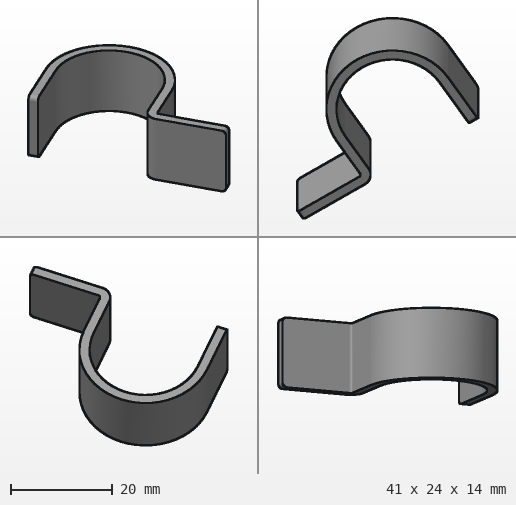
import cadquery as cq

length = 41.0
depth = 24.0
width = 14.0
thickness = 2.0
outer_radius = 13.0
bend_inner_radius = 0.5
corner_radius = 1.0

inner_radius = outer_radius - thickness
bend_outer_radius = bend_inner_radius + thickness
foot_y = outer_radius - depth
flange_top_y = foot_y + thickness
flange_end_x = length - outer_radius
bend_x = outer_radius + bend_inner_radius
bend_y = flange_top_y + bend_inner_radius


def bent_strip():
    """Half-round saddle with a free leg on -X and a flanged leg on +X."""
    saddle = (
        cq.Workplane("XY")
        .moveTo(-outer_radius, foot_y)
        .lineTo(-outer_radius, 0)
        .threePointArc((0, outer_radius), (outer_radius, 0))
        .lineTo(outer_radius, bend_y)
        .radiusArc((bend_x, flange_top_y), -bend_inner_radius)
        .lineTo(flange_end_x, flange_top_y)
        .lineTo(flange_end_x, foot_y)
        .lineTo(bend_x, foot_y)
        .radiusArc((inner_radius, bend_y), bend_outer_radius)
        .lineTo(inner_radius, 0)
        .threePointArc((0, inner_radius), (-inner_radius, 0))
        .lineTo(-inner_radius, foot_y)
        .close()
    )
    return saddle.extrude(width / 2, both=True)


def round_end_corners(strip):
    """Round the corners of the flange tip and of the free leg tip."""
    strip = strip.faces(">X").edges("|Y").fillet(corner_radius)
    leg_tip = cq.selectors.BoxSelector(
        (-outer_radius - thickness, foot_y - thickness, -width),
        (-inner_radius + thickness, foot_y + thickness, width),
    )
    return strip.edges("|X").edges(leg_tip).fillet(corner_radius)


result = round_end_corners(bent_strip())